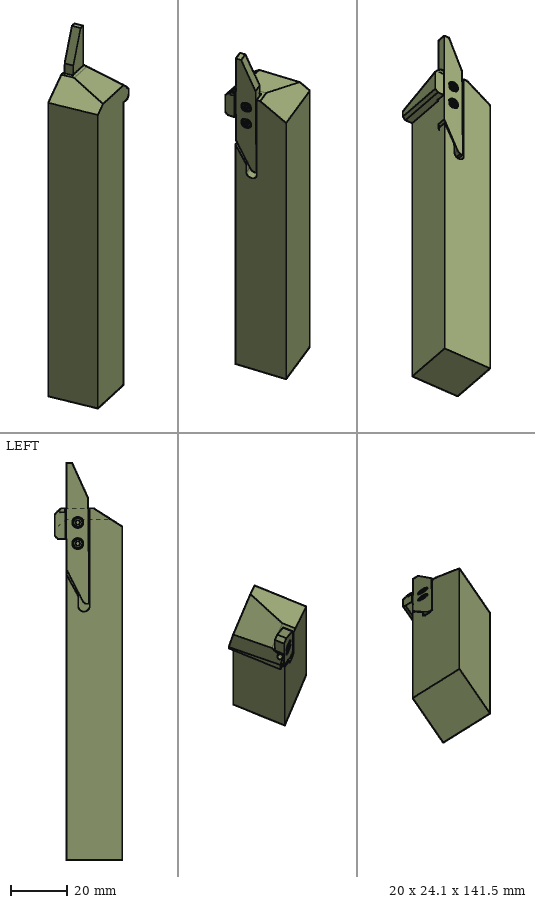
import cadquery as cq

SHANK_SIDE = 20.0
HEAD_Z = 125.3
HEAD_FLAT_X = 5.1
HEAD_FLAT_Y = -9.8
SIDE_SLOPE_DROP = 4.0
FRONT_SLOPE_DROP = 6.5

BOSS_DEPTH = 4.1
BOSS_BOTTOM_Z = 114.3
BOSS_BOTTOM_CHAMFER = 1.1
BOSS_MIDDLE_DROP = 1.5
BOSS_BACK_DROP = 3.5
BOSS_CLEARANCE = 0.4
DRILLING_X = 1.1
DRILLING_Y = 1.5
DRILLING_RADIUS = 1.0
DRILLING_DEPTH = 1.4
DRILLING_TIP_LENGTH = 0.5

BLADE_TOP_Z = 141.5
BLADE_RECESS = 0.3
POCKET_DEPTH = 3.8
BLADE_TIP_WIDTH = 2.1
BLADE_SHOULDER_WIDTH = 7.8
BLADE_SHOULDER_Z = 129.0
BLADE_FOOT_WIDTH = 8.0
BLADE_FOOT_Z = 91.2
BLADE_FOOT_FLAT = 1.0
BLADE_TAIL_WIDTH = 5.8
BLADE_TAIL_Z = 92.4
BLADE_HEEL_Z = 103.7

POCKET_WIDTH = 8.3
POCKET_HEEL_Z = 101.9
RELIEF_WIDTH = 4.2
RELIEF_RADIUS = (POCKET_WIDTH - RELIEF_WIDTH) / 2
RELIEF_TOP_Z = 94.1
RELIEF_CENTRE_Z = 90.5

SCREW_Y = -4.1
SCREW_HEIGHTS = (112.8, 120.2)
SCREW_HOLE_RADIUS = 2.0
SCREW_HOLE_DEPTH = 0.5
SCREW_HEAD_RADIUS = 1.5
SCREW_HEAD_HEIGHT = 0.4
SOCKET_ACROSS_CORNERS = 1.7
SOCKET_DEPTH = 0.4


def side_plane(x):
    """Plane parallel to the left face, with local axes Y and Z and its normal along +X."""
    return cq.Workplane("YZ", origin=(x, 0, 0))


def make_shank():
    side_outline = [
        (0, 0),
        (0, HEAD_Z),
        (HEAD_FLAT_Y, HEAD_Z),
        (-SHANK_SIDE, HEAD_Z - FRONT_SLOPE_DROP),
        (-SHANK_SIDE, 0),
    ]
    front_outline = [
        (0, 0),
        (0, HEAD_Z),
        (HEAD_FLAT_X, HEAD_Z),
        (SHANK_SIDE, HEAD_Z - SIDE_SLOPE_DROP),
        (SHANK_SIDE, 0),
    ]
    side_prism = side_plane(0).polyline(side_outline).close().extrude(SHANK_SIDE)
    front_prism = cq.Workplane("XZ").polyline(front_outline).close().extrude(SHANK_SIDE)
    return side_prism.intersect(front_prism)


def boss_profile(workplane, ridge_z):
    """Section of the boss: its top is a shallow arc that falls away from the head."""
    return (
        workplane.moveTo(0, BOSS_BOTTOM_Z)
        .lineTo(0, ridge_z)
        .threePointArc((BOSS_DEPTH / 2, ridge_z - BOSS_MIDDLE_DROP), (BOSS_DEPTH, ridge_z - BOSS_BACK_DROP))
        .lineTo(BOSS_DEPTH, BOSS_BOTTOM_Z + BOSS_BOTTOM_CHAMFER)
        .lineTo(BOSS_DEPTH - BOSS_BOTTOM_CHAMFER, BOSS_BOTTOM_Z)
        .close()
    )


def make_boss():
    """The top follows the sloping part of the head and is cut off level with the flat part."""
    drop_per_length = SIDE_SLOPE_DROP / (SHANK_SIDE - HEAD_FLAT_X)
    left_end = boss_profile(side_plane(0), HEAD_Z + HEAD_FLAT_X * drop_per_length)
    right_end = boss_profile(left_end.workplane(offset=SHANK_SIDE), HEAD_Z - SIDE_SLOPE_DROP)
    below_head_top = cq.Workplane("XY").box(SHANK_SIDE, BOSS_DEPTH, HEAD_Z, centered=False)
    return right_end.loft(ruled=True).intersect(below_head_top)


def make_blade_clearance():
    """Notch that keeps the boss clear of the back of the blade."""
    return cq.Workplane("XY").box(POCKET_DEPTH, BOSS_CLEARANCE, HEAD_Z, centered=False)


def make_drilling():
    """Short drilled hole with a conical tip, in the top of the boss."""
    downward = cq.Vector(0, 0, -1)
    mouth = cq.Vector(DRILLING_X, DRILLING_Y, HEAD_Z)
    bore = cq.Solid.makeCylinder(DRILLING_RADIUS, DRILLING_DEPTH, mouth, downward)
    bore_end = mouth + downward * DRILLING_DEPTH
    tip = cq.Solid.makeCone(DRILLING_RADIUS, 0, DRILLING_TIP_LENGTH, bore_end, downward)
    return cq.Workplane(bore).union(cq.Workplane(tip))


def make_pocket():
    """Pocket for the blade, open at the top and at the back, with a round relief at its foot."""
    return (
        side_plane(0)
        .moveTo(0, HEAD_Z)
        .lineTo(-POCKET_WIDTH, HEAD_Z)
        .lineTo(-POCKET_WIDTH, RELIEF_CENTRE_Z)
        .threePointArc(
            (RELIEF_RADIUS - POCKET_WIDTH, RELIEF_CENTRE_Z - RELIEF_RADIUS),
            (-RELIEF_WIDTH, RELIEF_CENTRE_Z),
        )
        .lineTo(-RELIEF_WIDTH, RELIEF_TOP_Z)
        .lineTo(0, POCKET_HEEL_Z)
        .close()
        .extrude(POCKET_DEPTH)
    )


def make_blade():
    """Pointed blade: its sloping tail rolls into a level foot."""
    return (
        side_plane(BLADE_RECESS)
        .moveTo(0, BLADE_TOP_Z)
        .lineTo(0, BLADE_HEEL_Z)
        .lineTo(-BLADE_TAIL_WIDTH, BLADE_TAIL_Z)
        .tangentArcPoint((BLADE_FOOT_FLAT - BLADE_FOOT_WIDTH, BLADE_FOOT_Z), relative=False)
        .lineTo(-BLADE_FOOT_WIDTH, BLADE_FOOT_Z)
        .lineTo(-BLADE_SHOULDER_WIDTH, BLADE_SHOULDER_Z)
        .lineTo(-BLADE_TIP_WIDTH, BLADE_TOP_Z)
        .close()
        .extrude(POCKET_DEPTH - BLADE_RECESS)
    )


def add_screws(part):
    """Each screw head stands in a round counterbore and has a hexagon socket."""
    positions = [(SCREW_Y, height) for height in SCREW_HEIGHTS]
    bore_floor = BLADE_RECESS + SCREW_HOLE_DEPTH
    head_face = bore_floor - SCREW_HEAD_HEIGHT
    counterbores = side_plane(BLADE_RECESS).pushPoints(positions).circle(SCREW_HOLE_RADIUS)
    heads = side_plane(head_face).pushPoints(positions).circle(SCREW_HEAD_RADIUS)
    sockets = side_plane(head_face).pushPoints(positions).polygon(6, SOCKET_ACROSS_CORNERS)
    return (
        part.cut(counterbores.extrude(SCREW_HOLE_DEPTH))
        .union(heads.extrude(SCREW_HEAD_HEIGHT))
        .cut(sockets.extrude(SOCKET_DEPTH))
    )


holder = make_shank().union(make_boss())
holder = holder.cut(make_blade_clearance()).cut(make_drilling()).cut(make_pocket())
result = add_screws(holder.union(make_blade()))